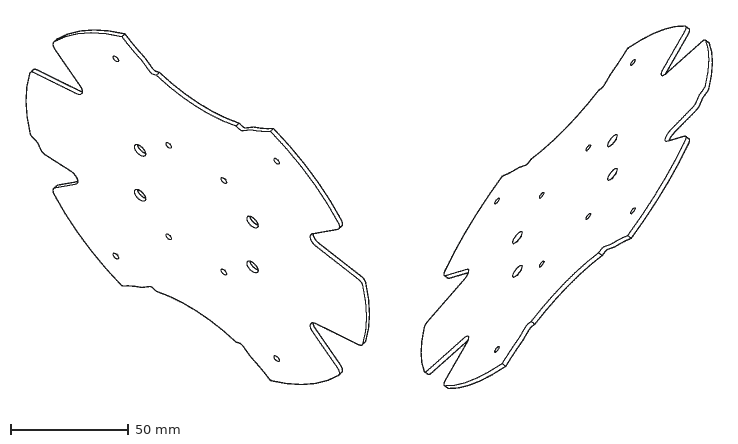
import cadquery as cq
import math

plate_radius = 94.0
thickness = 2.0

tip_height = 84.6
bite_depth_height = 69.4
tip_x = math.sqrt(plate_radius**2 - tip_height**2)
tip_rise = tip_height - bite_depth_height
bite_radius = (tip_x**2 + tip_rise**2) / (2 * tip_rise)
bite_center_z = bite_depth_height + bite_radius

relief_outer_x = 30.0
relief_inner_x = 22.0
relief_bottom = (24.8, 72.2)
relief_radius = 1.9

diagonal_offset = 31.0
lobe_angle = math.radians(10)
lobe_flank_z = 38.0
notch_radius = 4.0
side_rim_radius = 3.0
diagonal_rim_radius = 4.0

step_floor_z = -28.8
step_knee = (-87.6, -23.7)
step_foot = (-85.0, step_floor_z)
step_inner_radius = 1.9
step_foot_radius = 3.0

small_hole_diameter = 3.0
large_hole_diameter = 6.2
near_offset = 15.2
far_offset = 31.0
corner_hole_x = 44.4
corner_hole_z = 67.0

SIGNS = (1, -1)
reach = 2 * plate_radius


def disc(radius, x=0, z=0):
    return cq.Workplane("XZ").center(x, z).circle(radius).extrude(thickness / 2, both=True)


def prism(points):
    return cq.Workplane("XZ").polyline(points).close().extrude(thickness / 2, both=True)


def round_corners(body, points, radius):
    """Fillet the through-thickness edges at the given (x, z) points."""
    for x, z in points:
        edge = cq.selectors.NearestToPointSelector((x, 0, z))
        body = body.edges("|Y").edges(edge).fillet(radius)
    return body


def mirrored(point):
    return [(sx * point[0], sz * point[1]) for sx in SIGNS for sz in SIGNS]


def bite_z(x):
    return bite_center_z - math.sqrt(bite_radius**2 - x**2)


def cut_bites(body):
    outer = (relief_outer_x, bite_z(relief_outer_x))
    inner = (relief_inner_x, bite_z(relief_inner_x))
    for sz in SIGNS:
        body = body.cut(disc(bite_radius, 0, sz * bite_center_z))
        for sx in SIGNS:
            corners = [outer, relief_bottom, inner, (relief_bottom[0], bite_center_z)]
            body = body.cut(prism([(sx * x, sz * z) for x, z in corners]))
    return round_corners(body, mirrored(relief_bottom), relief_radius)


def flank_z(x):
    return lobe_flank_z - x * math.tan(lobe_angle)


def line_meets_rim(slope, height):
    """Point at positive x where the line z = slope * x + height meets the rim."""
    a = 1 + slope**2
    b = slope * height
    c = height**2 - plate_radius**2
    x = (-b + math.sqrt(b**2 - a * c)) / a
    return x, slope * x + height


def cut_notches(body):
    apex_x = (lobe_flank_z + diagonal_offset) / (1 + math.tan(lobe_angle))
    apex = (apex_x, flank_z(apex_x))
    notch = [apex, (reach, flank_z(reach)), (reach, reach - diagonal_offset)]
    lobe_corner = line_meets_rim(-math.tan(lobe_angle), lobe_flank_z)
    diagonal_corner = line_meets_rim(1, -diagonal_offset)
    step_apex = (step_floor_z - diagonal_offset, step_floor_z)
    step_corner = (-lobe_corner[0], -lobe_corner[1])
    step = prism([step_corner, step_knee, step_foot, (0, step_floor_z), (0, 0)])
    for sx in SIGNS:
        for sz in SIGNS:
            cutter = prism([(sx * x, sz * z) for x, z in notch])
            if (sx, sz) == (-1, -1):
                cutter = cutter.cut(step)
            body = body.cut(cutter)

    plain_apexes = [p for p in mirrored(apex) if p != (-apex[0], -apex[1])]
    plain_corners = [p for p in mirrored(lobe_corner) if p != step_corner]
    body = round_corners(body, plain_apexes + [step_apex], notch_radius)
    body = round_corners(body, plain_corners, side_rim_radius)
    body = round_corners(body, mirrored(diagonal_corner), diagonal_rim_radius)
    body = round_corners(body, [step_corner, step_knee], step_inner_radius)
    return round_corners(body, [step_foot], step_foot_radius)


def cut_holes(body):
    patterns = [
        (small_hole_diameter, (near_offset, far_offset)),
        (large_hole_diameter, (far_offset, near_offset)),
        (small_hole_diameter, (corner_hole_x, corner_hole_z)),
    ]
    for diameter, position in patterns:
        for x, z in mirrored(position):
            body = body.cut(disc(diameter / 2, x, z))
    return body


result = cut_holes(cut_notches(cut_bites(disc(plate_radius))))